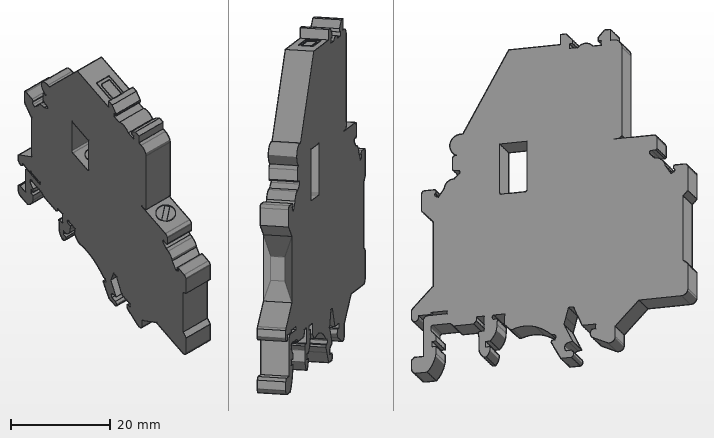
import cadquery as cq
import math


thickness = 6.0

housing_bottom = 0.0
ledge_z = 34.7
ledge_end = 21.55
shoulder_half_width = 28.1
shoulder_corner_radius = 0.7
left_shoulder_shift = -0.2
shoulder_overlap = 0.7
shoulder_top = 27.9
left_extreme = -30.4
left_waist_x = -25.8
right_waist_x = 27.05
waist_bottom = 7.5
waist_top = 21.15
bottom_corner_radius = 1.4

hinge_x = -20.05
hinge_z = 36.8
hinge_radius = 2.3
lever_slope_angle = 30
lever_top = 55.9
lever_right_top = 55.7
lever_right = 14.15
lever_corner_radius = 1.7
lever_corner_inset = lever_corner_radius * (1 - math.sqrt(0.5))
lever_root_depth = 2.05
lever_top_left_x = -9.8
lever_slope_foot_z = hinge_z + hinge_radius
lever_slope_run = (lever_top - lever_slope_foot_z) * math.tan(math.radians(lever_slope_angle))
lever_toe_chamfer = 0.55
lever_toe_gap = 0.1
lever_toe_gap_end = 12.5

post_axis_x = 6.4
post_height = 58.05
post_outer = 5.3
post_flat_end = 4.05
post_hook = 2.7
post_neck = 3.35
post_hook_bottom = 55.85
post_hook_nose = 56.5
marker_floor = 54.9
dome_half_width = 1.6
dome_top = 55.6

window_left = -11.75
window_right = -6.0
window_bottom = 25.5
window_top = 36.1
window_corner_radius = 0.35
contact_diameter = 2.9
contact_sink = 0.15

screw_diameter = 4.0
screw_sink = 0.15
screw_slot_width = 1.0
screw_slot_depth = 0.4
screw_slot_angle = -45
ledge_screw_x = 16.75

socket_x = -2.3
socket_length = 5.85
socket_width = 3.1
socket_sink = 0.15
cavity_length = 4.4
cavity_width = 2.1
cavity_y = 0.1
cavity_depth = 0.3
cavity_corner_radius = 0.4

entry_z = (waist_top + waist_bottom) / 2
entry_height = waist_top - waist_bottom
entry_floor_height = 4.95
entry_floor_width = 2.95
entry_depth = 0.1


def plate(start, *steps):
    """Extrude a closed XZ outline; a step is an end point or a (point on arc, end point) pair."""
    path = cq.Workplane("XZ").moveTo(*start)
    for step in steps:
        if isinstance(step[0], tuple):
            path = path.threePointArc(*step)
        else:
            path = path.lineTo(*step)
    return path.close().extrude(thickness / 2, both=True)


def box(x_min, x_max, z_min, z_max):
    """Full-thickness rectangular block."""
    return plate((x_min, z_min), (x_max, z_min), (x_max, z_max), (x_min, z_max))


def shoulder(waist_x):
    """Right-hand shoulder with its two marker grooves, from the axis out to the waist."""
    edge = shoulder_half_width
    corner_inset = shoulder_corner_radius * (1 - math.sqrt(0.5))
    return plate(
        (-shoulder_overlap, waist_top),
        (waist_x, waist_top),
        (edge, waist_top + edge - waist_x),
        (edge, shoulder_top - shoulder_corner_radius),
        ((edge - corner_inset, shoulder_top - corner_inset), (edge - shoulder_corner_radius, shoulder_top)),
        (25.35, shoulder_top),
        ((25.0, 27.55), (25.2, 27.05)),
        ((25.3, 26.7), (25.0, 26.45)),
        (24.5, 26.2),
        (23.3, 27.95),
        ((22.8, 29.05), (21.85, 29.7)),
        (21.15, 29.8),
        (20.05, 30.8),
        ((20.05, 31.3), (20.5, 31.45)),
        (21.3, 31.45),
        (ledge_end, 31.7),
        (ledge_end, ledge_z - shoulder_corner_radius),
        ((ledge_end - corner_inset, ledge_z - corner_inset), (ledge_end - shoulder_corner_radius, ledge_z)),
        (-shoulder_overlap, ledge_z),
    )


def housing():
    """Mirrored shoulders over a waist and a flared lower edge."""
    edge = shoulder_half_width
    arc_offset = bottom_corner_radius * (1 - math.sqrt(0.5))
    lower = plate(
        (left_waist_x, waist_top),
        (left_waist_x, waist_bottom),
        (-30.15, 3.15),
        (left_extreme, 2.75),
        (left_extreme, 1.2),
        ((-29.7, 0.35), (-28.9, 1.0)),
        (-28.9, 1.5),
        (-26.25, 1.5),
        (-26.25, 1.9),
        (-22.9, 1.9),
        (-22.9, housing_bottom),
        (edge - bottom_corner_radius, housing_bottom),
        ((edge - arc_offset, housing_bottom + arc_offset), (edge, housing_bottom + bottom_corner_radius)),
        (edge, 6.6),
        ((edge - 0.2, 6.9), (right_waist_x, waist_bottom)),
        (right_waist_x, waist_top),
    )
    left = shoulder(left_shoulder_shift - left_waist_x).mirror("YZ").translate((left_shoulder_shift, 0, 0))
    return lower.union(shoulder(right_waist_x)).union(left)


def marker_post(side):
    """Hooked post on the left (-1) or right (+1) of the marker seat."""
    def at(distance):
        return post_axis_x + side * distance
    return plate(
        (at(post_neck), marker_floor),
        (at(post_neck), post_hook_bottom),
        (at(post_hook), post_hook_bottom),
        (at(post_hook), post_hook_nose),
        (at(post_flat_end), post_height),
        (at(post_outer), post_height),
        (at(post_outer), marker_floor),
    )


def lever():
    """Sloped fuse lever with its hinge barrel, marker seat and posts."""
    arm = plate(
        (lever_top_left_x - lever_slope_run, ledge_z - lever_root_depth),
        (lever_top_left_x - lever_slope_run, lever_slope_foot_z),
        (lever_top_left_x, lever_top),
        (post_axis_x - post_neck, lever_top),
        (post_axis_x - post_neck, marker_floor),
        (post_axis_x - dome_half_width, marker_floor),
        ((post_axis_x, dome_top), (post_axis_x + dome_half_width, marker_floor)),
        (post_axis_x + post_neck, marker_floor),
        (post_axis_x + post_neck, lever_right_top),
        (lever_right - lever_corner_radius, lever_right_top),
        (
            (lever_right - lever_corner_inset, lever_right_top - lever_corner_inset),
            (lever_right, lever_right_top - lever_corner_radius),
        ),
        (lever_right, ledge_z + lever_toe_chamfer),
        (lever_right - lever_toe_chamfer, ledge_z + lever_toe_gap),
        (lever_toe_gap_end, ledge_z),
        (lever_toe_gap_end, ledge_z - lever_root_depth),
    )
    barrel = cq.Workplane("XZ").center(hinge_x, hinge_z).circle(hinge_radius).extrude(thickness / 2, both=True)
    top_of_barrel = box(hinge_x, lever_top_left_x - lever_slope_run, ledge_z, lever_slope_foot_z)
    return arm.union(barrel).union(top_of_barrel).union(marker_post(-1)).union(marker_post(1))


def left_foot():
    """Long latch foot hanging from the web at the left."""
    return plate(
        (-22.9, housing_bottom),
        (-22.9, 1.3),
        (-26.9, 1.3),
        ((-27.6, 1.0), (-27.9, 0.4)),
        (-27.9, -7.2),
        (-29.8, -7.2),
        (left_extreme, -7.8),
        (left_extreme, -9.6),
        ((-30.15, -10.3), (-29.5, -10.65)),
        (-27.05, -10.65),
        ((-25.9, -9.0), (-25.2, -6.9)),
        (-25.2, -5.35),
        (-26.0, -5.35),
        (-26.0, -4.25),
        (-25.2, -4.25),
        (-25.2, -3.1),
        (-26.3, -1.9),
        (-26.3, -1.3),
        ((-26.2, -0.95), (-25.8, -0.8)),
        (-22.2, -0.8),
        (-21.5, -1.45),
        (-17.25, -1.45),
        (-16.7, -0.8),
        (-16.7, housing_bottom),
    )


def spring_leg():
    """Narrow spring leg beside the left foot."""
    return plate(
        (-15.05, housing_bottom),
        (-15.05, -3.15),
        (-16.0, -3.15),
        (-16.35, -3.4),
        (-16.15, -4.4),
        (-16.15, -6.8),
        ((-15.7, -8.1), (-15.1, -8.7)),
        (-14.55, -8.7),
        ((-13.95, -7.75), (-13.75, -6.6)),
        (-14.7, -6.6),
        (-14.7, -5.4),
        (-13.75, -5.4),
        ((-12.8, -4.1), (-12.3, -2.05)),
        (-12.2, -0.95),
        (-13.0, -0.9),
        ((-13.3, -0.5), (-13.0, housing_bottom)),
    )


def middle_foot():
    """Arched pad with a hooked foot at its right end."""
    return plate(
        (-10.65, housing_bottom),
        (-10.8, -2.2),
        (-9.5, -3.4),
        (-8.9, -3.4),
        ((-6.2, -3.0), (-4.05, -3.4)),
        ((-2.0, -4.45), (-0.8, -5.35)),
        (-0.2, -5.4),
        ((0.15, -6.0), (-0.15, -6.5)),
        (-0.7, -6.6),
        (-0.9, -7.0),
        (-0.2, -8.25),
        (1.2, -10.65),
        (3.4, -10.65),
        ((3.9, -9.8), (3.4, -9.15)),
        (2.3, -9.15),
        ((2.35, -7.7), (2.95, -7.4)),
        (3.7, -7.3),
        (1.85, -3.5),
        (2.3, -2.05),
        (2.8, housing_bottom),
    )


def right_hook():
    """Hook with a slanted toe that grips the right edge of the rail."""
    return plate(
        (3.85, housing_bottom),
        (5.7, -4.1),
        (8.6, -4.1),
        (8.6, -5.1),
        (7.8, -5.15),
        ((7.4, -6.05), (7.8, -6.9)),
        (11.1, -8.4),
        ((12.2, -8.2), (12.7, -7.2)),
        (12.7, -5.0),
        (17.7, housing_bottom),
    )


def window():
    """Through window with rounded bottom corners."""
    opening = box(window_left, window_right, window_bottom, window_top)
    return opening.edges("|Y and <Z").fillet(window_corner_radius)


def contact_recess():
    """Plain round sink in the floor of the window."""
    face = cq.Workplane("XY").workplane(offset=window_bottom)
    face = face.center((window_left + window_right) / 2, 0)
    return face.circle(contact_diameter / 2).extrude(-contact_sink)


def screw_recess():
    """Sunk screw head with a diagonal driver slot, in the ledge beside the lever."""
    face = cq.Workplane("XY").workplane(offset=ledge_z).center(ledge_screw_x, 0)
    head = face.circle(screw_diameter / 2).extrude(-screw_sink)
    disc = face.circle(screw_diameter / 2).extrude(-screw_slot_depth)
    bar = face.transformed(rotate=(0, 0, screw_slot_angle)).rect(screw_diameter, screw_slot_width)
    return head.union(bar.extrude(-screw_slot_depth).intersect(disc))


def test_socket():
    """Rectangular sink with a deeper cavity that has two rounded corners."""
    face = cq.Workplane("XY").workplane(offset=lever_top).center(socket_x, 0)
    sink = face.rect(socket_length, socket_width).extrude(-socket_sink)
    cavity = face.center(0, cavity_y).rect(cavity_length, cavity_width).extrude(-cavity_depth)
    return sink.union(cavity.edges("|Z and <Y").fillet(cavity_corner_radius))


def wire_entry():
    """Tapered recess in the left waist face."""
    mouth = cq.Workplane("YZ").workplane(offset=left_waist_x).center(0, entry_z)
    funnel = mouth.rect(thickness, entry_height).workplane(offset=entry_depth)
    return funnel.rect(entry_floor_width, entry_floor_height).loft(ruled=True)


result = housing().union(lever())
for foot in (left_foot(), spring_leg(), middle_foot(), right_hook()):
    result = result.union(foot)

result = result.cut(window())
result = result.cut(screw_recess())
result = result.cut(contact_recess())
result = result.cut(test_socket())
result = result.cut(wire_entry())